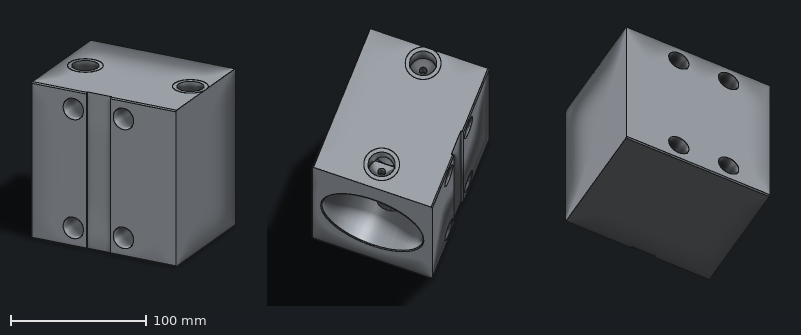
import cadquery as cq

length = 121.0
width = 95.0
height = 125.0
edge_chamfer = 1.0

bore_diameter = 80.0
bore_lead_in = 0.8
recess_diameter = 63.0
recess_depth = 8.5
end_wall = 10.0

key_width = 20.0
key_depth = 2.0
key_center_x = -4.5

mount_diameter = 17.0
mount_spacing_x = 42.0
mount_spacing_z = 95.0
mount_center_x = key_center_x

port_positions_x = (-40.5, 47.5)
port_diameter = 20.0
port_depth = 13.0
spotface_diameter = 26.5
spotface_depth = 0.1
pilot_diameter = 5.5
pilot_floor_gap = 0.1

left_face = -length / 2
front_face = -width / 2
top_face = height / 2
bore_depth = length - end_wall - recess_depth
pilot_depth = top_face - bore_diameter / 2 - pilot_floor_gap


def make_block():
    return cq.Workplane("XY").box(length, width, height).edges("|X").chamfer(edge_chamfer)


def x_cylinder(diameter, start, depth):
    return cq.Workplane("YZ", origin=(start, 0, 0)).circle(diameter / 2).extrude(depth)


def make_bore():
    bore = x_cylinder(bore_diameter, left_face, bore_depth)
    recess = x_cylinder(recess_diameter, left_face + bore_depth, recess_depth)
    mouth_radius = bore_diameter / 2 + bore_lead_in
    lead_in = cq.Workplane(cq.Solid.makeCone(
        mouth_radius, bore_diameter / 2, bore_lead_in,
        cq.Vector(left_face, 0, 0), cq.Vector(1, 0, 0),
    ))
    return bore.union(recess).union(lead_in)


def make_keyway():
    keyway = cq.Workplane("XY").box(key_width, 2 * key_depth, height)
    return keyway.translate((key_center_x, front_face, 0))


def make_mount_holes():
    return (
        cq.Workplane("XZ", origin=(mount_center_x, 0, 0))
        .rarray(mount_spacing_x, mount_spacing_z, 2, 2)
        .circle(mount_diameter / 2)
        .extrude(width / 2, both=True)
    )


def make_port(center_x):
    top = cq.Workplane("XY", origin=(center_x, 0, top_face))
    spotface = top.circle(spotface_diameter / 2).extrude(-spotface_depth)
    cavity = top.circle(port_diameter / 2).extrude(-port_depth)
    pilot = top.circle(pilot_diameter / 2).extrude(-pilot_depth)
    return spotface.union(cavity).union(pilot)


result = make_block().cut(make_keyway()).cut(make_bore()).cut(make_mount_holes())
for port_x in port_positions_x:
    result = result.cut(make_port(port_x))